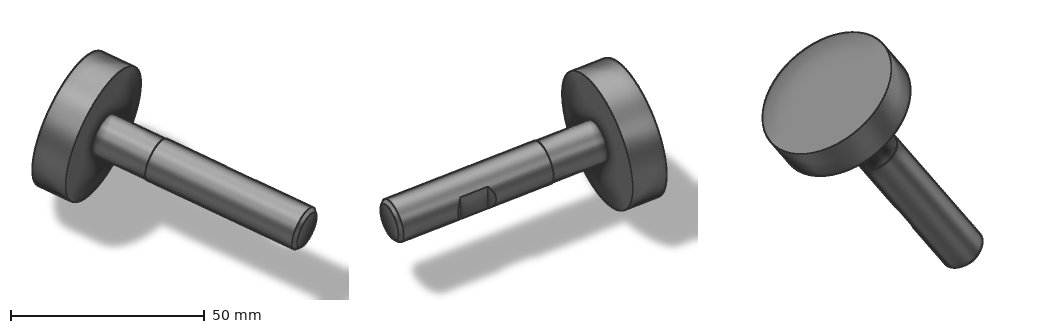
import cadquery as cq

head_diameter = 38.5
head_length = 10.0
neck_diameter = 11.7
neck_length = 16.0
shank_diameter = 12.0
shank_length = 45.0
tip_chamfer = 1.0

flat_depth = 1.6
flat_length = 8.0
flat_center_from_tip = 22.5

neck_end = head_length + neck_length
tip_x = neck_end + shank_length


def disc(start_x, diameter, length):
    """Cylinder along +X starting at start_x."""
    return cq.Workplane("YZ", origin=(start_x, 0, 0)).circle(diameter / 2).extrude(length)


def chamfered_shank():
    shank = disc(neck_end, shank_diameter, shank_length)
    return shank.faces(">X").edges().chamfer(tip_chamfer)


def flat_cutter():
    """Trapezoidal prism along Z that opens outward at 45 degrees."""
    shank_radius = shank_diameter / 2
    center_x = tip_x - flat_center_from_tip
    half_floor = flat_length / 2
    half_mouth = half_floor + flat_depth
    floor_y = shank_radius - flat_depth
    return (
        cq.Workplane("XY")
        .polyline([
            (center_x - half_floor, floor_y),
            (center_x + half_floor, floor_y),
            (center_x + half_mouth, shank_radius),
            (center_x - half_mouth, shank_radius),
        ])
        .close()
        .extrude(shank_radius, both=True)
    )


head = disc(0, head_diameter, head_length)
neck = disc(head_length, neck_diameter, neck_length)
result = head.union(neck).union(chamfered_shank()).cut(flat_cutter())